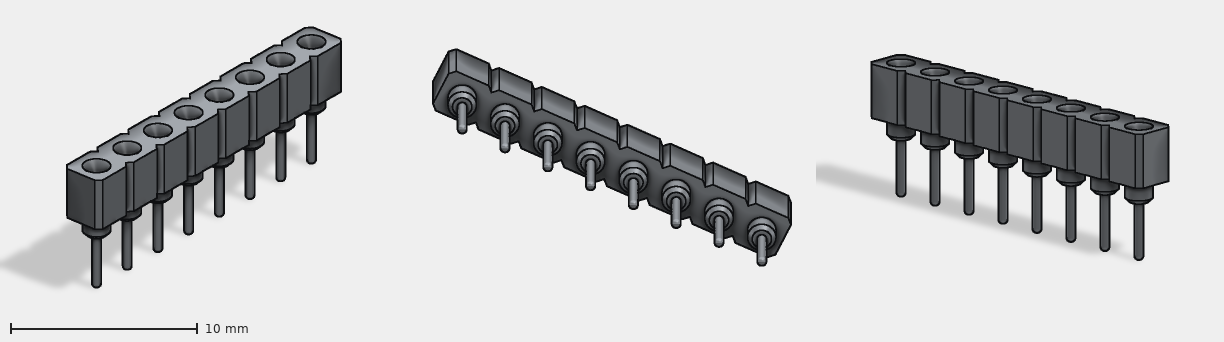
import cadquery as cq

socket_count = 8
row_length = 20.32
pitch = row_length / socket_count
body_width = pitch
corner_chamfer = 0.3

overall_height = 7.44
body_height = 3.0
collar_length = 1.18
pin_tip = body_height - overall_height

collar_diameter = 1.52
collar_chamfer = 0.25
pin_diameter = 0.5
funnel_diameter = 1.52
bore_diameter = 0.5
funnel_depth = 0.57
bore_depth = 2.03


def housing_cell():
    """One square block with chamfered upright edges."""
    return (
        cq.Workplane("XY")
        .box(body_width, pitch, body_height, centered=(True, True, False))
        .edges("|Z")
        .chamfer(corner_chamfer)
    )


def collar_and_pin():
    """Chamfered collar and thin pin with a hemispherical tip, turned about Z."""
    collar_radius = collar_diameter / 2
    pin_radius = pin_diameter / 2
    return (
        cq.Workplane("XZ")
        .polyline([
            (0, 0),
            (collar_radius, 0),
            (collar_radius, collar_chamfer - collar_length),
            (collar_radius - collar_chamfer, -collar_length),
            (pin_radius, -collar_length),
            (pin_radius, pin_tip + pin_radius),
        ])
        .radiusArc((0, pin_tip), pin_radius)
        .close()
        .revolve(360, (0, 0), (0, 1))
    )


def socket_opening():
    """Conical lead-in that narrows to a blind bore."""
    bore_radius = bore_diameter / 2
    return (
        cq.Workplane("XZ")
        .polyline([
            (0, body_height),
            (funnel_diameter / 2, body_height),
            (bore_radius, body_height - funnel_depth),
            (bore_radius, body_height - bore_depth),
            (0, body_height - bore_depth),
        ])
        .close()
        .revolve(360, (0, 0), (0, 1))
    )


socket = housing_cell().union(collar_and_pin()).cut(socket_opening())
first_socket_y = (pitch - row_length) / 2
result = socket.translate((0, first_socket_y, 0))
for index in range(1, socket_count):
    result = result.union(socket.translate((0, first_socket_y + index * pitch, 0)))
result = result.clean()